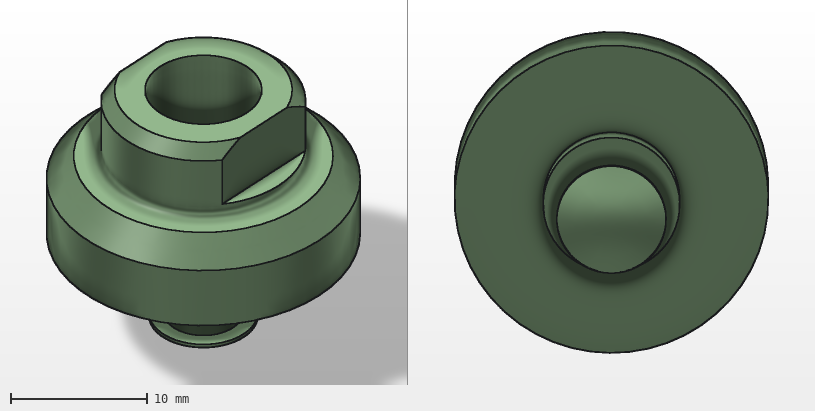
import cadquery as cq

body_diameter = 23.0
head_diameter = 15.0
bore_diameter = 8.55
collar_diameter = 10.0
pin_diameter = 5.8
flange_diameter = 8.0

dome_height = 0.71
flange_thickness = 0.3
pin_length = 5.3
collar_height = 1.9
rim_height = 5.0
body_chamfer = 2.0
head_height = 6.0

head_chamfer = 1.0
neck_fillet = 0.8
flat_width = 12.0
flat_height = 5.0
bore_depth = 7.0

flange_bottom = dome_height
flange_top = flange_bottom + flange_thickness
collar_bottom = flange_top + pin_length
body_bottom = collar_bottom + collar_height
rim_top = body_bottom + rim_height
shoulder = rim_top + body_chamfer
top = shoulder + head_height

body_radius = body_diameter / 2
head_radius = head_diameter / 2
collar_radius = collar_diameter / 2
pin_radius = pin_diameter / 2
flange_radius = flange_diameter / 2

dome_radius = (flange_radius**2 + dome_height**2) / (2 * dome_height)


def turned_body():
    """Revolve the half profile, from the dome to the chamfered head."""
    profile = (
        cq.Workplane("XZ")
        .moveTo(0, top)
        .lineTo(0, 0)
        .radiusArc((flange_radius, flange_bottom), -dome_radius)
        .lineTo(flange_radius, flange_top)
        .lineTo(pin_radius, flange_top)
        .lineTo(pin_radius, collar_bottom)
        .lineTo(collar_radius, collar_bottom)
        .lineTo(collar_radius, body_bottom)
        .lineTo(body_radius, body_bottom)
        .lineTo(body_radius, rim_top)
        .lineTo(body_radius - body_chamfer, shoulder)
        .lineTo(head_radius + neck_fillet, shoulder)
        .radiusArc((head_radius, shoulder + neck_fillet), neck_fillet)
        .lineTo(head_radius, top - head_chamfer)
        .lineTo(head_radius - head_chamfer, top)
        .close()
    )
    return profile.revolve(360, (0, 0, 0), (0, 1, 0))


def cut_flats(part):
    """Cut two parallel wrench flats, facing -X and +X, into the head."""
    for side in (-1, 1):
        cutter = (
            cq.Workplane("XY")
            .workplane(offset=top - flat_height)
            .center(side * (flat_width + head_diameter) / 2, 0)
            .rect(head_diameter, head_diameter)
            .extrude(flat_height)
        )
        part = part.cut(cutter)
    return part


def cut_bore(part):
    """Cut the blind bore down from the top of the head."""
    bore = (
        cq.Workplane("XY")
        .workplane(offset=top - bore_depth)
        .circle(bore_diameter / 2)
        .extrude(bore_depth)
    )
    return part.cut(bore)


result = cut_bore(cut_flats(turned_body()))